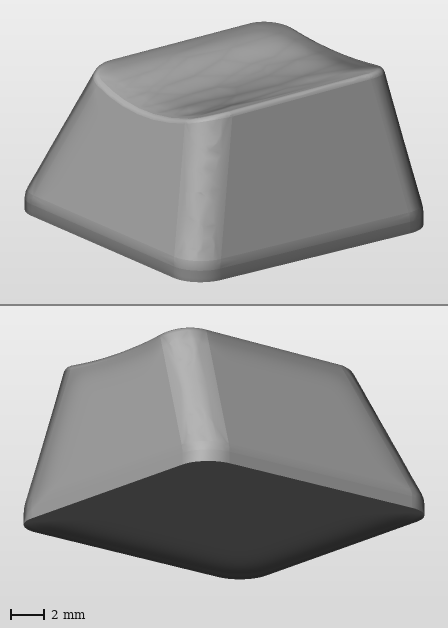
import cadquery as cq

base_size = 18.16
corner_radius = 2.0
knee_bottom = 0.73
knee_top = 1.29

side_lean = 0.37
front_lean = 0.39
back_lean = 0.086
blank_height = 10.9

dish_half_width = 8.17
dish_end_y = 9.45
dish_back_centre = 8.92
dish_back_rim = 9.82
dish_front_centre = 7.86
dish_front_rim = 10.28
cutter_top = 12.71
rim_radius = 0.36


def outline_at(height):
    """Rounded-rectangle section; its inset grows as a parabola in the knee, then linearly."""
    if height <= knee_top:
        effective_rise = max(height - knee_bottom, 0) ** 2 / (2 * (knee_top - knee_bottom))
    else:
        effective_rise = height - (knee_bottom + knee_top) / 2
    half_base = base_size / 2
    half_width = half_base - side_lean * effective_rise
    back = half_base - back_lean * effective_rise
    front = -half_base + front_lean * effective_rise
    return (
        cq.Sketch()
        .rect(2 * half_width, back - front)
        .vertices()
        .fillet(corner_radius)
        .moved(cq.Location(cq.Vector(0, (back + front) / 2, height)))
    )


def loft_through(heights, ruled):
    sections = [outline_at(height) for height in heights]
    return cq.Workplane("XY").placeSketch(*sections).loft(ruled=ruled)


def make_body():
    """Straight skirt, curved knee and sloping sides, stacked and tangent to each other."""
    knee_middle = (knee_bottom + knee_top) / 2
    skirt = cq.Workplane("XY").placeSketch(outline_at(0)).extrude(knee_bottom)
    knee = loft_through([knee_bottom, knee_middle, knee_top], ruled=False)
    sloped = loft_through([knee_top, blank_height], ruled=True)
    return skirt.union(knee).union(sloped)


def dish_section(y, centre, rim):
    """Closed profile above the dish at one Y position."""
    return (
        cq.Workplane("XZ", origin=(0, y, 0))
        .moveTo(-dish_half_width, rim)
        .threePointArc((0, centre), (dish_half_width, rim))
        .lineTo(dish_half_width, cutter_top)
        .lineTo(-dish_half_width, cutter_top)
        .close()
        .val()
    )


def make_dish_cutter():
    back = dish_section(dish_end_y, dish_back_centre, dish_back_rim)
    front = dish_section(-dish_end_y, dish_front_centre, dish_front_rim)
    return cq.Solid.makeLoft([back, front], True)


dished = make_body().cut(make_dish_cutter())
top_face = dished.faces(cq.selectors.NearestToPointSelector((0, 0, dish_front_centre)))
result = top_face.edges().fillet(rim_radius)